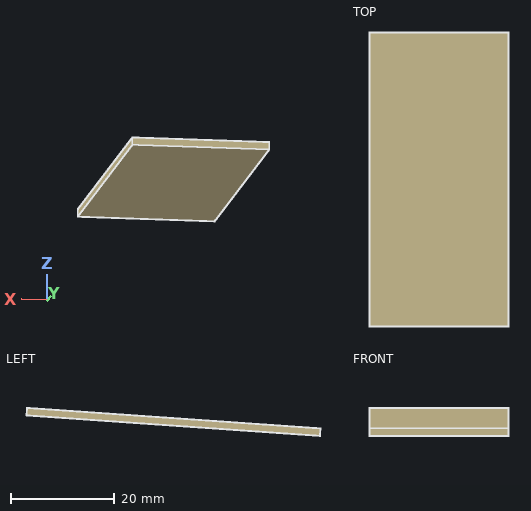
import cadquery as cq

plate_width = 27.0
plate_length = 57.0
plate_thickness = 1.5

tilt_angle = 4.0

flat_plate = cq.Workplane("XY").box(plate_width, plate_length, plate_thickness)

result = flat_plate.rotate((0, 0, 0), (1, 0, 0), tilt_angle)